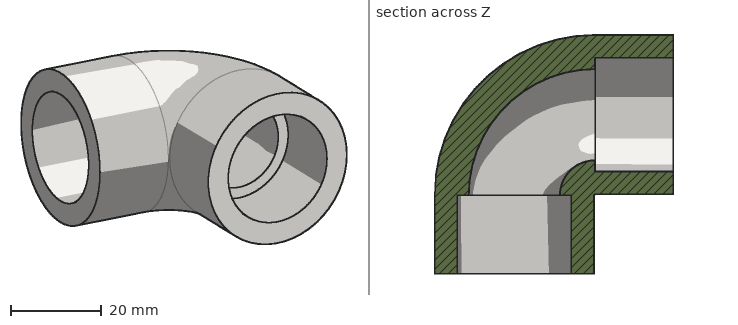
import cadquery as cq

overall_size = 52.55
outer_diameter = 35.1
socket_diameter = 25.0
bore_diameter = 20.0
bend_radius = 17.75
bend_angle = 90

collar_length = overall_size - outer_diameter / 2 - bend_radius


def bend(diameter):
    """Quarter torus about the Z axis, from the -X side round to the +Y side."""
    return (
        cq.Workplane("XZ")
        .center(-bend_radius, 0)
        .circle(diameter / 2)
        .revolve(bend_angle, (bend_radius, 0), (bend_radius, -1))
    )


def end_cylinders(diameter):
    """Straight cylinders over the collar length at both ends of the bend."""
    toward_front = cq.Workplane("XZ").center(-bend_radius, 0).circle(diameter / 2).extrude(collar_length)
    toward_right = cq.Workplane("YZ").center(bend_radius, 0).circle(diameter / 2).extrude(collar_length)
    return toward_front.add(toward_right).combine()


body = bend(outer_diameter).union(end_cylinders(outer_diameter))

result = body.cut(end_cylinders(socket_diameter)).cut(bend(bore_diameter))